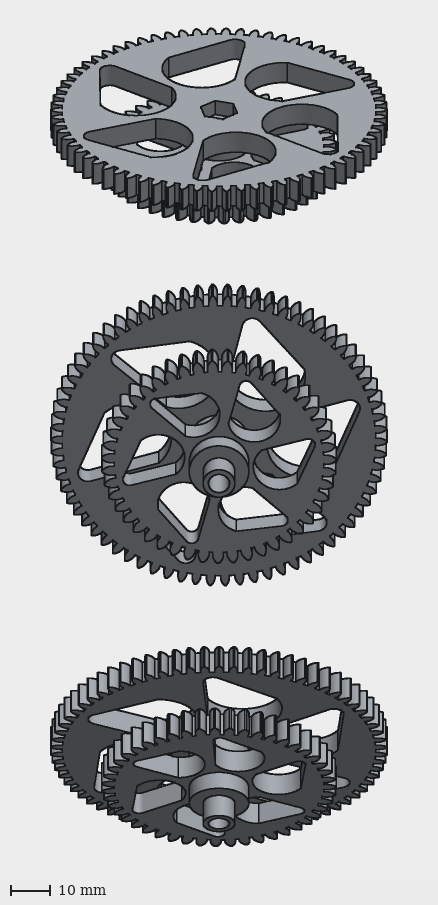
import cadquery as cq
import math

total_height = 26.9
pin_length = 5.9
hub_end_length = 4.65
small_gear_thickness = 5.85
large_gear_thickness = 5.75

small_gear_bottom = pin_length + hub_end_length
large_gear_bottom = total_height - large_gear_thickness

pin_diameter = 8.0
hub_diameter = 15.0
bore_diameter = 5.3

nut_across_flats = 8.4
nut_depth = 4.0
nut_sides = 6
nut_corner_angle = 90.0

large_teeth = 70
large_tip_radius = 42.305
large_root_radius = 39.45
large_flank_radius = 41.2
large_root_half_width = 1.08
large_flank_half_width = 0.86
large_tip_half_width = 0.18
large_gear_angle = 90.0

small_teeth = 47
small_tip_radius = 29.55
small_root_radius = 26.4
small_flank_radius = 28.3
small_root_half_width = 1.3
small_flank_half_width = 1.1
small_tip_half_width = 0.2
small_gear_angle = large_gear_angle + 1.53

window_count = 6

large_window_distance = 22.0
large_window_radius = 10.0
large_window_taper = 15.0
large_window_corner_radius = 2.5
large_window_lean = -45.0
large_window_angle = 90.0

small_window_distance = 15.3
small_window_radius = 6.6
small_window_taper = 9.7
small_window_corner_radius = 1.7
small_window_lean = -47.0
small_window_angle = 93.1


def turned(body, angle):
    """The body turned about the Z axis."""
    return body.rotate((0, 0, 0), (0, 0, 1), angle)


def polar(radius, angle):
    return (radius * math.cos(angle), radius * math.sin(angle))


def gear_blank(teeth, root, flank, tip, thickness):
    """Gear disc with a tooth on +X; root, flank and tip are (radius, half width) of a tooth."""
    pitch = 2 * math.pi / teeth
    root_radius, root_half_width = root
    flank_radius, flank_half_width = flank
    tip_radius, tip_half_width = tip
    root_angle = root_half_width / root_radius
    flank_angle = flank_half_width / flank_radius
    tip_angle = tip_half_width / tip_radius

    outline = cq.Workplane("XY").moveTo(*polar(root_radius, -root_angle))
    for index in range(teeth):
        middle = index * pitch
        outline = (
            outline
            .threePointArc(polar(flank_radius, middle - flank_angle), polar(tip_radius, middle - tip_angle))
            .threePointArc(polar(tip_radius, middle), polar(tip_radius, middle + tip_angle))
            .threePointArc(polar(flank_radius, middle + flank_angle), polar(root_radius, middle + root_angle))
            .threePointArc(
                polar(root_radius, middle + pitch / 2),
                polar(root_radius, middle + pitch - root_angle),
            )
        )
    return outline.close().extrude(thickness)


def window(radius, taper, corner_radius, lean, distance, thickness):
    """Half disc whose straight sides run from its diameter to a rounded corner, set out along +X."""
    slope = math.atan2(radius, taper) - math.asin(corner_radius / math.hypot(radius, taper))
    touch_x = taper + corner_radius * math.sin(slope)
    touch_y = corner_radius * math.cos(slope)
    opening = (
        cq.Workplane("XY")
        .moveTo(0, radius)
        .threePointArc((-radius, 0), (0, -radius))
        .lineTo(touch_x, -touch_y)
        .threePointArc((taper + corner_radius, 0), (touch_x, touch_y))
        .close()
        .extrude(thickness)
    )
    return turned(opening, lean).translate((distance, 0, 0))


def cut_windows(gear, opening):
    for index in range(window_count):
        gear = gear.cut(turned(opening, index * 360 / window_count))
    return gear


def large_gear():
    blank = gear_blank(
        large_teeth,
        (large_root_radius, large_root_half_width),
        (large_flank_radius, large_flank_half_width),
        (large_tip_radius, large_tip_half_width),
        large_gear_thickness,
    )
    opening = window(
        large_window_radius,
        large_window_taper,
        large_window_corner_radius,
        large_window_lean,
        large_window_distance,
        large_gear_thickness,
    )
    return cut_windows(turned(blank, large_gear_angle), turned(opening, large_window_angle)).translate(
        (0, 0, large_gear_bottom)
    )


def small_gear():
    blank = gear_blank(
        small_teeth,
        (small_root_radius, small_root_half_width),
        (small_flank_radius, small_flank_half_width),
        (small_tip_radius, small_tip_half_width),
        small_gear_thickness,
    )
    opening = window(
        small_window_radius,
        small_window_taper,
        small_window_corner_radius,
        small_window_lean,
        small_window_distance,
        small_gear_thickness,
    )
    return cut_windows(turned(blank, small_gear_angle), turned(opening, small_window_angle)).translate(
        (0, 0, small_gear_bottom)
    )


def axle():
    pin = cq.Workplane("XY").circle(pin_diameter / 2).extrude(pin_length)
    hub = (
        cq.Workplane("XY", origin=(0, 0, pin_length))
        .circle(hub_diameter / 2)
        .extrude(total_height - pin_length)
    )
    return pin.union(hub)


def bore():
    return cq.Workplane("XY").circle(bore_diameter / 2).extrude(total_height)


def nut_trap():
    """Hexagonal pocket in the top face."""
    corner_diameter = nut_across_flats / math.cos(math.pi / nut_sides)
    pocket = (
        cq.Workplane("XY", origin=(0, 0, total_height - nut_depth))
        .polygon(nut_sides, corner_diameter)
        .extrude(nut_depth)
    )
    return turned(pocket, nut_corner_angle)


result = axle().union(small_gear()).union(large_gear()).cut(bore()).cut(nut_trap())